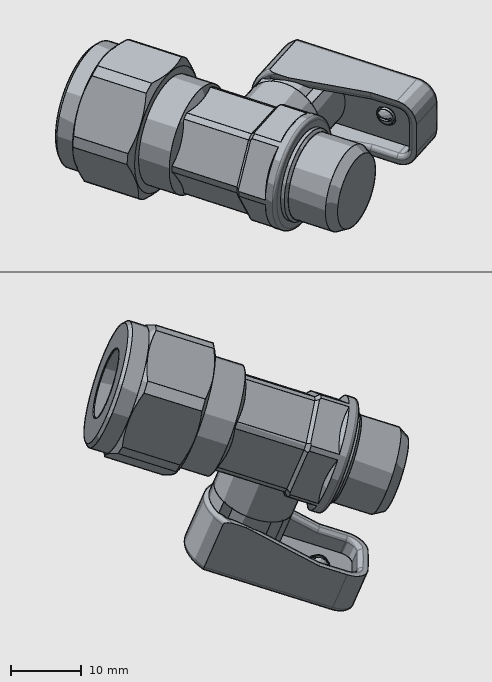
import cadquery as cq
import math

CHAMFER_TAN = math.tan(math.radians(30))
FIT = 0.45

NUT_LENGTH = 13.0
NUT_RIM_R = 9.45
NUT_RIM_LENGTH = 3.03
NUT_RIM_CHAMFER = 0.5
NUT_APOTHEM = 9.53
NUT_CORNER_R = 10.5
NUT_TURN = -7.5
TUBE_R = 5.1
TUBE_DEPTH = 2.05
TUBE_CHAMFER = 0.15

COLLAR_R = 8.25
COLLAR_END = 17.92
SMALL_APOTHEM = 7.05
SMALL_CORNER_R = 7.85
HEX_STEP_START = 28.6
LARGE_APOTHEM = 7.6
FLANGE_R = 8.55
FLANGE_START = 33.5
FLANGE_END = 35.13
FLANGE_FILLET = 0.5
SEAT_R = 6.95
SEAT_END = 36.1
SEAT_CHAMFER = 0.4
MALE_R = 6.5
MALE_END = 43.55
MALE_CONE_LENGTH = 1.5

NECK_X = 26.2
NECK_R = 6.0
NECK_TOP = 10.47
HUB_CORE_R = 4.95
HUB_WING_HALF = 3.97
HANDLE_TOP = 21.5
HANDLE_END = 45.15
HANDLE_HALF = 5.5
HANDLE_ROUND_R = 6.6
HANDLE_CORNER_R = 3.15
HANDLE_END_BULGE = 0.2
HANDLE_TOP_FILLET = 0.68
HANDLE_LOW = 12.5
HANDLE_HIGH = 14.95
SLOPE_START = 25.83
SLOPE_END = 37.75
HANDLE_WALL = 1.45
HANDLE_RIM_FILLET = 0.68
HANDLE_FLOOR = 17.6

SCREW_X = 38.8
RECESS_R = 1.55
RECESS_DEPTH = 0.35
SCREW_R = 1.25
SCREW_RISE = 0.23
SCREW_DOME = 0.68
SLOT_WIDTH = 0.45
SLOT_DEPTH = 0.45


def rod(radius, start, end):
    """Cylinder along X."""
    return cq.Workplane("YZ", origin=(start, 0, 0)).circle(radius).extrude(end - start)


def post(radius, bottom, top, x=NECK_X):
    """Cylinder along Y, on the neck axis unless placed elsewhere."""
    return cq.Workplane("XZ", origin=(x, bottom, 0)).circle(radius).extrude(bottom - top)


def revolved(points):
    """Solid of revolution about X from (x, radius) points that close along the axis."""
    return cq.Workplane("XY").polyline(points).close().revolve(360, (0, 0, 0), (1, 0, 0))


def hexagon(apothem, start, end, turn=0, taper=0):
    """Hexagonal bar along X with flats facing up and down before it is turned."""
    corner = apothem / math.cos(math.radians(30))
    bar = (
        cq.Workplane("YZ", origin=(start, 0, 0))
        .polygon(6, 2 * corner)
        .extrude(end - start, taper=taper)
    )
    return bar.rotate((0, 0, 0), (1, 0, 0), turn)


def make_nut():
    cone = (NUT_CORNER_R - NUT_RIM_R) * CHAMFER_TAN
    envelope = revolved([
        (NUT_RIM_LENGTH, 0),
        (NUT_RIM_LENGTH, NUT_RIM_R),
        (NUT_RIM_LENGTH + cone, NUT_CORNER_R),
        (NUT_LENGTH - cone, NUT_CORNER_R),
        (NUT_LENGTH, NUT_RIM_R),
        (NUT_LENGTH, 0),
    ])
    hex_part = hexagon(NUT_APOTHEM, NUT_RIM_LENGTH, NUT_LENGTH, NUT_TURN).intersect(envelope)
    rim = rod(NUT_RIM_R, 0, NUT_RIM_LENGTH + FIT).faces("<X").chamfer(NUT_RIM_CHAMFER)
    bore = rod(TUBE_R, 0, TUBE_DEPTH)
    socket = rod(COLLAR_R, TUBE_DEPTH, NUT_LENGTH)
    nut = hex_part.union(rim).cut(bore).cut(socket)
    bore_mouth = nut.faces("<X").edges("%CIRCLE").edges(cq.selectors.RadiusNthSelector(0))
    return bore_mouth.chamfer(TUBE_CHAMFER)


def make_housing():
    collar_cone = (COLLAR_R - SMALL_APOTHEM) * CHAMFER_TAN
    collar = revolved([
        (TUBE_DEPTH, 0),
        (TUBE_DEPTH, COLLAR_R),
        (COLLAR_END, COLLAR_R),
        (COLLAR_END + collar_cone, SMALL_APOTHEM),
        (COLLAR_END + collar_cone, 0),
    ])
    small_hex = hexagon(SMALL_APOTHEM, COLLAR_END, FLANGE_START).intersect(
        rod(SMALL_CORNER_R, COLLAR_END, FLANGE_START))

    step_end = HEX_STEP_START + LARGE_APOTHEM - SMALL_APOTHEM
    bevel = hexagon(SMALL_APOTHEM, HEX_STEP_START, step_end, taper=-45)
    corner_envelope = revolved([
        (HEX_STEP_START, 0),
        (HEX_STEP_START, SMALL_CORNER_R),
        (HEX_STEP_START + FLANGE_R - SMALL_CORNER_R, FLANGE_R),
        (FLANGE_START, FLANGE_R),
        (FLANGE_START, 0),
    ])
    large_hex = bevel.union(hexagon(LARGE_APOTHEM, step_end, FLANGE_END)).intersect(corner_envelope)

    flange_cone = (FLANGE_R - LARGE_APOTHEM) * CHAMFER_TAN
    flange = revolved([
        (FLANGE_START - flange_cone, 0),
        (FLANGE_START - flange_cone, LARGE_APOTHEM),
        (FLANGE_START, FLANGE_R),
        (FLANGE_END, FLANGE_R),
        (FLANGE_END, 0),
    ]).faces(">X").edges().fillet(FLANGE_FILLET)
    seat = rod(SEAT_R, FLANGE_END - FIT, SEAT_END).faces(">X").chamfer(SEAT_CHAMFER)
    male = revolved([
        (FLANGE_END, 0),
        (FLANGE_END, MALE_R),
        (MALE_END - MALE_CONE_LENGTH, MALE_R),
        (MALE_END, MALE_R - MALE_CONE_LENGTH * CHAMFER_TAN),
        (MALE_END, 0),
    ])
    neck = post(NECK_R, 0, NECK_TOP)
    return collar.union(small_hex).union(large_hex).union(flange).union(seat).union(male).union(neck)


def make_handle():
    round_reach = math.sqrt(HANDLE_ROUND_R**2 - HANDLE_HALF**2)
    grip_x = HANDLE_END - HANDLE_END_BULGE
    outline = (
        cq.Workplane("XZ", origin=(0, HANDLE_TOP, 0))
        .moveTo(NECK_X - round_reach, HANDLE_HALF)
        .threePointArc((NECK_X - HANDLE_ROUND_R, 0), (NECK_X - round_reach, -HANDLE_HALF))
        .lineTo(grip_x, -HANDLE_HALF)
        .threePointArc((HANDLE_END, 0), (grip_x, HANDLE_HALF))
        .close()
    )
    block = outline.extrude(HANDLE_TOP - HANDLE_LOW)
    block = block.edges("|Y").edges(">X").fillet(HANDLE_CORNER_R)
    inner_outline = block.faces("<Y").wires().val().offset2D(-HANDLE_WALL)[0]
    cavity = cq.Workplane(
        cq.Solid.extrudeLinear(inner_outline, [], cq.Vector(0, HANDLE_FLOOR - HANDLE_LOW, 0)))
    block = block.faces(">Y").edges().fillet(HANDLE_TOP_FILLET)

    grip_clearance = (
        cq.Workplane("XY", origin=(0, 0, -HANDLE_HALF))
        .moveTo(SLOPE_START, HANDLE_LOW)
        .lineTo(SLOPE_END, HANDLE_HIGH)
        .lineTo(HANDLE_END, HANDLE_HIGH)
        .lineTo(HANDLE_END, HANDLE_LOW)
        .close()
        .extrude(2 * HANDLE_HALF)
    )
    shell = block.cut(cavity).cut(grip_clearance)

    inner_half = HANDLE_HALF - HANDLE_WALL
    inner_rim = cq.selectors.BoxSelector(
        (NECK_X - HANDLE_ROUND_R + FIT, HANDLE_LOW - FIT, -inner_half - FIT / 2),
        (HANDLE_END - FIT, HANDLE_HIGH + FIT / 20, inner_half + FIT / 2),
    )
    shell = shell.edges(inner_rim).fillet(HANDLE_RIM_FILLET)

    wing_slab = cq.Workplane("XY").box(4 * NECK_R, 4 * HANDLE_TOP, 2 * HUB_WING_HALF)
    hub = post(NECK_R, NECK_TOP, HANDLE_FLOOR).intersect(wing_slab.translate((NECK_X, 0, 0)))
    hub = hub.union(post(HUB_CORE_R, NECK_TOP, HANDLE_FLOOR))

    recess = post(RECESS_R, HANDLE_FLOOR, HANDLE_FLOOR + RECESS_DEPTH, SCREW_X)
    return shell.cut(recess).union(hub)


def make_screw():
    """Domed screw head with a slot, seated in the recess of the handle floor."""
    base = HANDLE_FLOOR + RECESS_DEPTH
    ball_r = (SCREW_R**2 + SCREW_DOME**2) / (2 * SCREW_DOME)
    shank = post(SCREW_R, HANDLE_FLOOR - SCREW_RISE, base, SCREW_X)
    tip = HANDLE_FLOOR - SCREW_RISE - SCREW_DOME
    ball = cq.Workplane("XY").sphere(ball_r).translate((SCREW_X, tip + ball_r, 0))
    dome = post(SCREW_R, tip, base, SCREW_X).intersect(ball)
    slot = cq.Workplane("XY").box(3 * SCREW_R, 2 * SLOT_DEPTH, SLOT_WIDTH).translate((SCREW_X, tip, 0))
    return shank.union(dome).cut(slot)


nut = make_nut()
housing = make_housing()
handle = make_handle()
screw = make_screw()

result = cq.Compound.makeCompound([nut.val(), housing.val(), handle.val(), screw.val()])